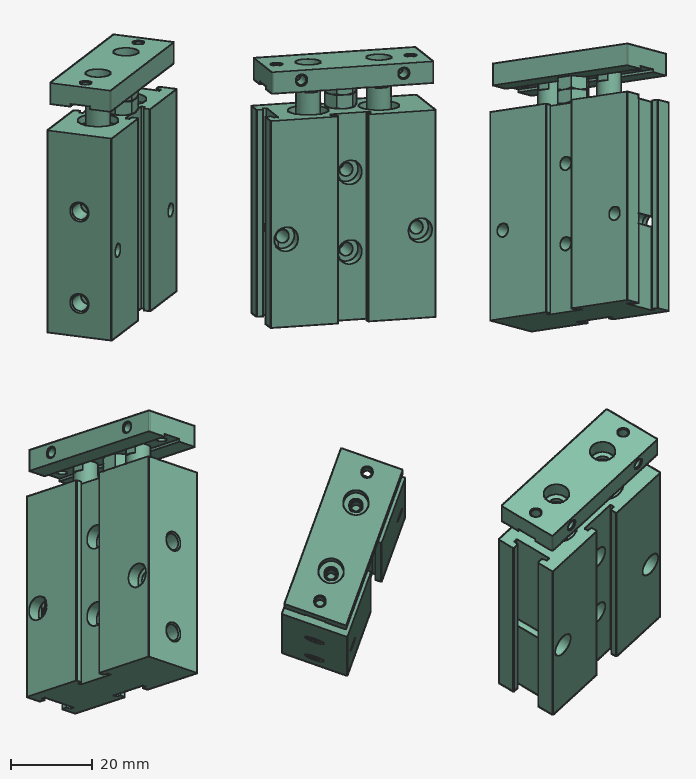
import cadquery as cq
import math


TOTAL_HEIGHT = 64.0
HOUSING_X = 17.0
HOUSING_Y = 42.0
HOUSING_HEIGHT = 51.9
EDGE_CHAMFER = 0.2

ROD_SPACING = 18.0
ROD_DIA = 6.0
ROD_FLAT_WIDTH = 5.2
ROD_FLAT_HEIGHT = 1.6
RECESS_DIA = 10.0
RECESS_DEPTH = 2.0

SLOT_NECK = 7.55
SLOT_INNER = 10.1
SLOT_DEPTH = 2.9
SLOT_LIP = 1.65
SLOT_SHOULDER_DEPTH = 1.9
SLOT_MOUTH_CHAMFER = 0.2

BOLT_HOLE_DIA = 3.3
SIDE_BOLT_SPACING = 34.05
SIDE_BOLT_Z = 22.0
COUNTERBORE_DIA = 6.0
COUNTERBORE_DEPTH = 3.3
CENTRE_BOLT_HEIGHTS = (17.0, 37.0)
PORT_HEIGHTS = (8.5, 32.0)
PORT_DIA = 4.15
PORT_DEPTH = 6.0
PORT_CHAMFER = 0.4

PLATE_X = 16.0
PLATE_Y = 41.1
PLATE_EDGE_ROUND = 0.225
PLATE_THICKNESS = 5.45
CHANNEL_DEPTH = 0.7
SCREW_HEAD_DIA = 6.2
SCREW_HEAD_DEPTH = 3.65
SCREW_CLEARANCE_DIA = 3.4
TAPPED_DIA = 2.4
TAPPED_CHAMFER = 0.25
ROD_TAP_DEPTH = 5.0
TOP_TAP_SPACING = SIDE_BOLT_SPACING
EDGE_TAP_SPACING = 26.0
EDGE_TAP_DROP = 2.5
EDGE_TAP_DEPTH = 5.0

HEX_ACROSS_CORNERS = 8.1
HEX_CENTRE_X = 2.55
HEX_HEAD_HEIGHT = 3.45
HEX_CHAMFER_ANGLE = 30.0

PLATE_BOTTOM = TOTAL_HEIGHT - PLATE_THICKNESS
CHANNEL_TOP = PLATE_BOTTOM + CHANNEL_DEPTH
RECESS_FLOOR = HOUSING_HEIGHT - RECESS_DEPTH
NUT_BOTTOM = HOUSING_HEIGHT + HEX_HEAD_HEIGHT
ROD_YS = (-ROD_SPACING / 2, ROD_SPACING / 2)
X_AXIS = cq.Vector(1, 0, 0)
Y_AXIS = cq.Vector(0, 1, 0)
DOWN = cq.Vector(0, 0, -1)


def hole(mouth, direction, diameter, depth, chamfer=0.0):
    """Cutter for a round hole starting at mouth, with an optional chamfered mouth."""
    start = cq.Vector(*mouth)
    cutter = cq.Workplane(cq.Solid.makeCylinder(diameter / 2, depth, start, direction))
    if chamfer > 0:
        cone = cq.Solid.makeCone(diameter / 2 + chamfer, diameter / 2, chamfer, start, direction)
        cutter = cutter.union(cq.Workplane(cone))
    return cutter


def block(size_x, size_y, bottom, height):
    """Upright block centred on the Z axis."""
    return cq.Workplane("XY", origin=(0, 0, bottom)).rect(size_x, size_y).extrude(height)


def t_slot(outer_distance, angle):
    """Full-height T-slot cutter; at angle 0 it opens toward +X."""
    half_profile = [
        (outer_distance, SLOT_NECK / 2 + SLOT_MOUTH_CHAMFER),
        (outer_distance - SLOT_MOUTH_CHAMFER, SLOT_NECK / 2),
        (outer_distance - SLOT_LIP, SLOT_NECK / 2),
        (outer_distance - SLOT_SHOULDER_DEPTH, SLOT_INNER / 2),
        (outer_distance - SLOT_DEPTH, SLOT_INNER / 2),
    ]
    mirrored = [(x, -y) for x, y in reversed(half_profile)]
    cutter = cq.Workplane("XY").polyline(half_profile + mirrored).close().extrude(HOUSING_HEIGHT)
    return cutter.rotate((0, 0, 0), (0, 0, 1), angle)


def counterbored_hole(y, z, floor_x):
    """Bolt hole through the housing along X, with its head recess opening on -X."""
    left = -HOUSING_X / 2
    through = hole((left, y, z), X_AXIS, BOLT_HOLE_DIA, HOUSING_X)
    head = hole((left, y, z), X_AXIS, COUNTERBORE_DIA, floor_x - left)
    return through.union(head)


def make_housing():
    body = block(HOUSING_X, HOUSING_Y, 0, HOUSING_HEIGHT).edges("|Z").chamfer(EDGE_CHAMFER)

    for distance, angle in ((HOUSING_X / 2, 0), (HOUSING_Y / 2, 90), (HOUSING_X / 2, 180)):
        body = body.cut(t_slot(distance, angle))

    for y in ROD_YS:
        body = body.cut(hole((0, y, HOUSING_HEIGHT), DOWN, RECESS_DIA, RECESS_DEPTH))

    side_floor_x = -HOUSING_X / 2 + COUNTERBORE_DEPTH
    for y in (-SIDE_BOLT_SPACING / 2, SIDE_BOLT_SPACING / 2):
        body = body.cut(counterbored_hole(y, SIDE_BOLT_Z, side_floor_x))
    centre_floor_x = side_floor_x + SLOT_DEPTH
    for z in CENTRE_BOLT_HEIGHTS:
        body = body.cut(counterbored_hole(0, z, centre_floor_x))

    for z in PORT_HEIGHTS:
        body = body.cut(hole((0, -HOUSING_Y / 2, z), Y_AXIS, PORT_DIA, PORT_DEPTH, PORT_CHAMFER))
    return body


def make_plate():
    plate = block(PLATE_X, PLATE_Y, PLATE_BOTTOM, PLATE_THICKNESS).edges("|Z").fillet(PLATE_EDGE_ROUND)
    plate = plate.cut(block(ROD_FLAT_WIDTH, PLATE_Y, PLATE_BOTTOM, CHANNEL_DEPTH))

    for y in ROD_YS:
        top = (0, y, TOTAL_HEIGHT)
        plate = plate.cut(hole(top, DOWN, SCREW_HEAD_DIA, SCREW_HEAD_DEPTH))
        plate = plate.cut(hole(top, DOWN, SCREW_CLEARANCE_DIA, PLATE_THICKNESS))

    for side in (-1, 1):
        top = (0, side * TOP_TAP_SPACING / 2, TOTAL_HEIGHT)
        plate = plate.cut(hole(top, DOWN, TAPPED_DIA, PLATE_THICKNESS, TAPPED_CHAMFER))
        edge = (-PLATE_X / 2, side * EDGE_TAP_SPACING / 2, TOTAL_HEIGHT - EDGE_TAP_DROP)
        plate = plate.cut(hole(edge, X_AXIS, TAPPED_DIA, EDGE_TAP_DEPTH, TAPPED_CHAMFER))
    return plate


def make_rod(y):
    """Guide rod from the recess floor to the plate channel, flatted and tapped at the top."""
    flat_bottom = PLATE_BOTTOM - ROD_FLAT_HEIGHT
    centre = cq.Workplane("XY", origin=(0, y, RECESS_FLOOR))
    full = centre.circle(ROD_DIA / 2).extrude(CHANNEL_TOP - RECESS_FLOOR)
    envelope = block(ROD_DIA, HOUSING_Y, RECESS_FLOOR, flat_bottom - RECESS_FLOOR)
    envelope = envelope.union(block(ROD_FLAT_WIDTH, HOUSING_Y, flat_bottom, CHANNEL_TOP - flat_bottom))
    tap = hole((0, y, CHANNEL_TOP), DOWN, TAPPED_DIA, ROD_TAP_DEPTH, TAPPED_CHAMFER)
    return full.intersect(envelope).cut(tap)


def make_hexagon(bottom, height):
    """Hexagonal prism with flats facing +X and -X and its lower corners chamfered by a cone."""
    corner_radius = HEX_ACROSS_CORNERS / 2
    flat_radius = corner_radius * math.cos(math.pi / 6)
    rise = (corner_radius - flat_radius) * math.tan(math.radians(HEX_CHAMFER_ANGLE))
    centre = cq.Workplane("XY", origin=(HEX_CENTRE_X, 0, bottom))
    prism = centre.transformed(rotate=(0, 0, 90)).polygon(6, HEX_ACROSS_CORNERS).extrude(height)
    foot = cq.Vector(HEX_CENTRE_X, 0, bottom)
    cone = cq.Workplane(cq.Solid.makeCone(flat_radius, corner_radius, rise, foot))
    upper = centre.workplane(offset=rise).circle(corner_radius).extrude(height - rise)
    return prism.intersect(cone.union(upper))


def make_slide():
    slide = make_plate()
    for y in ROD_YS:
        slide = slide.union(make_rod(y))
    head = make_hexagon(HOUSING_HEIGHT, HEX_HEAD_HEIGHT)
    nut = make_hexagon(NUT_BOTTOM, CHANNEL_TOP - NUT_BOTTOM)
    return slide.union(head).union(nut)


housing = make_housing()
slide = make_slide()
result = cq.Compound.makeCompound([housing.solids().val(), slide.solids().val()])